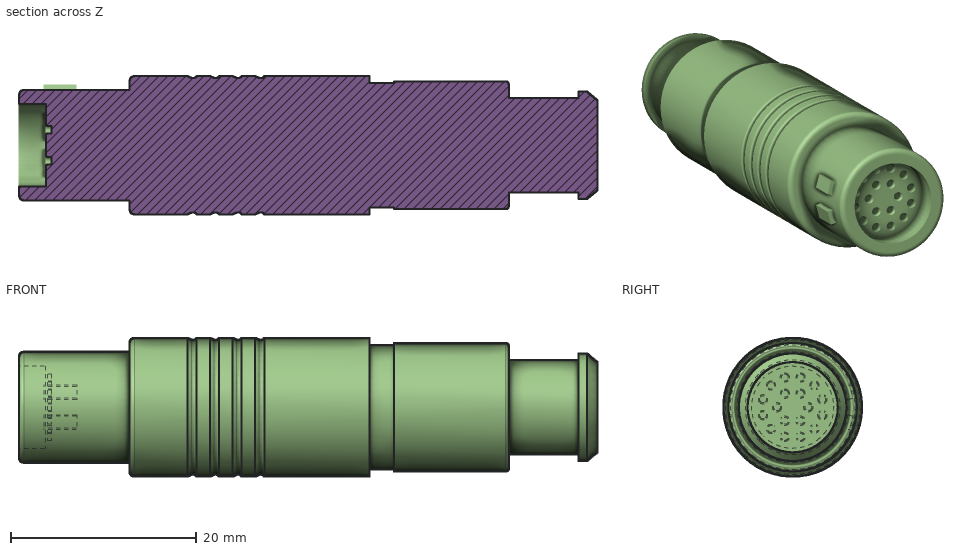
import cadquery as cq

nose_end = 11.95
body_end = 37.9
neck_end = 40.5
sleeve_end = 52.95
tail_end = 60.45
overall_length = 62.5

nose_radius = 6.0
body_radius = 7.5
neck_radius = 6.75
sleeve_radius = 6.95
tail_radius = 5.1
flange_radius = 5.8

front_fillet = 0.55
sleeve_fillet = 0.4
flange_chamfer_length = 1.1
flange_chamfer_height = 0.95

groove_count = 4
first_groove_start = 18.2
groove_pitch = 2.45
groove_width = 1.0
groove_taper_length = 0.45
groove_taper_drop = 0.2
cut_margin = 0.6

socket_radius = 4.45
socket_depth = 2.9
contact_radius = 0.4
contact_mouth_radius = 0.5
contact_sink = 0.2
contact_depth = 0.6
outer_contact_count = 12
outer_contact_circle = 3.3
inner_contact_count = 6
inner_contact_circle = 1.7

key_start = 2.7
key_length = 3.55
key_width = 1.5
key_top_radius = 6.55
key_root_radius = 5.05
key_angle = 15.0


def cylinder(start, end, radius):
    """Solid cylinder on the X axis between two stations."""
    return cq.Workplane("YZ").workplane(offset=start).circle(radius).extrude(end - start)


def turned_blank():
    """Stepped round body with its rounded and chamfered ends."""
    nose = cylinder(0, nose_end, nose_radius).faces("<X").edges().fillet(front_fillet)
    body = cylinder(nose_end, body_end, body_radius).faces("<X").edges().fillet(front_fillet)
    neck = cylinder(body_end, neck_end, neck_radius)
    sleeve = cylinder(neck_end, sleeve_end, sleeve_radius).faces(">X").edges().fillet(sleeve_fillet)
    tail = cylinder(sleeve_end, tail_end, tail_radius)
    flange = cylinder(tail_end, overall_length, flange_radius)
    flange = flange.faces(">X").edges().chamfer(flange_chamfer_length, flange_chamfer_height)
    return nose.union(body).union(neck).union(sleeve).union(tail).union(flange)


def grip_groove(start):
    """Ring that leaves one groove: a gentle taper running into a steeper hollow on the +X side."""
    taper_end = start + groove_taper_length
    end = start + groove_width
    section = (
        cq.Workplane("XY")
        .moveTo(start, body_radius)
        .lineTo(taper_end, body_radius - groove_taper_drop)
        .tangentArcPoint((end, body_radius), relative=False)
        .lineTo(end, body_radius + cut_margin)
        .lineTo(start, body_radius + cut_margin)
        .close()
    )
    return section.revolve(360, (0, 0, 0), (1, 0, 0))


def contact_holes(count, circle_radius, start_angle):
    """Blind countersunk contact holes evenly spaced on a circle in the socket floor."""
    section = (
        cq.Workplane("XY")
        .moveTo(socket_depth, 0)
        .lineTo(socket_depth, contact_mouth_radius)
        .lineTo(socket_depth + contact_sink, contact_radius)
        .lineTo(socket_depth + contact_depth, contact_radius)
        .lineTo(socket_depth + contact_depth, 0)
        .close()
    )
    hole = section.revolve(360, (0, 0, 0), (1, 0, 0)).translate((0, circle_radius, 0))
    holes = cq.Workplane("XY")
    for index in range(count):
        holes = holes.add(hole.rotate((0, 0, 0), (1, 0, 0), start_angle + index * 360 / count))
    return holes.combine()


def coding_key(angle):
    """Rectangular key standing radially out of the nose."""
    return (
        cq.Workplane("XY")
        .box(key_length, key_top_radius - key_root_radius, key_width, centered=(False, False, True))
        .translate((key_start, key_root_radius, 0))
        .rotate((0, 0, 0), (1, 0, 0), angle)
    )


result = turned_blank()
for index in range(groove_count):
    result = result.cut(grip_groove(first_groove_start + index * groove_pitch))
for angle in (-key_angle, key_angle):
    result = result.union(coding_key(angle))
result = result.cut(cylinder(0, socket_depth, socket_radius))
result = result.cut(contact_holes(outer_contact_count, outer_contact_circle, 180 / outer_contact_count))
result = result.cut(contact_holes(inner_contact_count, inner_contact_circle, 0))